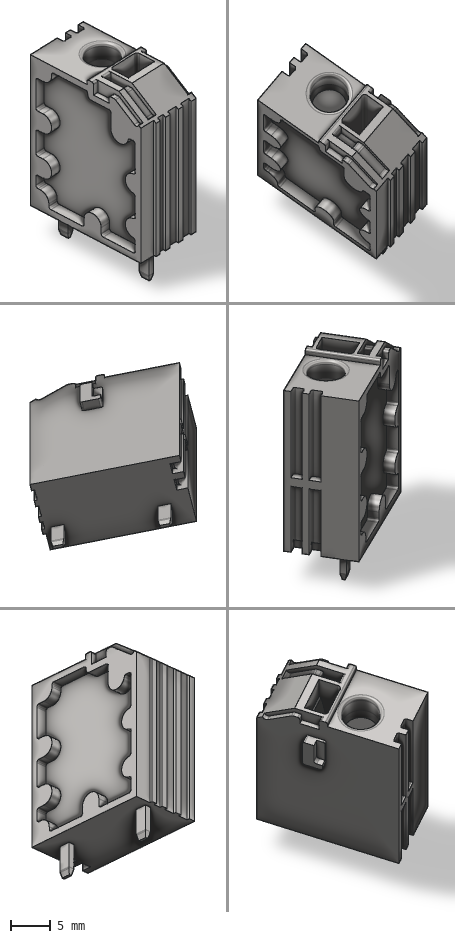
import cadquery as cq
import math

LENGTH = 19.19
WIDTH = 10.0
DECK_Z = 23.5
CREST_Z = 24.3
STEP_X = 9.85
SLOPE_START_X = 14.63
RIB_DEPTH = 0.4
RIB_FACE_X = LENGTH + RIB_DEPTH
RIB_TOP_Z = 20.8
SLOPE_ANGLE = math.atan2(CREST_Z - RIB_TOP_Z, RIB_FACE_X - SLOPE_START_X)
EDGE_RADIUS = 0.3
RIB_SPANS = [(2.42, 3.2), (4.2, 5.1), (6.64, 7.55), (9.05, WIDTH)]

GROOVE_SPANS = [(0, 0.8), (1.8, 3.3), (9.35, WIDTH)]
GROOVE_LEFT_X = 10.95
GROOVE_FLOOR_Z = 22.4
GROOVE_STEP_X = 13.65
GROOVE_SLOPE_X = 14.65
GROOVE_BEND_REACH = 0.15
GROOVE_LOW_X = 18.05
GROOVE_END_X = 18.78

POCKET_DEPTH = 1.6
POCKET_LEFT, POCKET_RIGHT = 0.95, 18.18
POCKET_BOTTOM, POCKET_TOP = 1.05, 22.5
POCKET_STEP_X, POCKET_STEP_Z = 9.95, 21.38
POCKET_NOTCH_X, POCKET_NOTCH_Z = 14.0, 18.5
POCKET_STEP_RADIUS = 0.58
POCKET_CORNER_RADIUS = 0.38
PILLAR_RADIUS = 1.5
PILLAR_REACH = 2.3
LEFT, RIGHT, DOWN, UP = (-1, 0), (1, 0), (0, -1), (0, 1)
PILLARS = [
    (2.2, 21.87, [LEFT, UP]),
    (2.2, 13.82, [LEFT]),
    (2.2, 6.78, [LEFT]),
    (1.7, 1.75, [LEFT, DOWN]),
    (10.8, 2.35, [DOWN]),
    (17.97, 11.83, [RIGHT]),
    (17.97, 4.88, [RIGHT]),
    (POCKET_NOTCH_X + PILLAR_RADIUS, POCKET_NOTCH_Z, []),
]

SLOT_SPANS = [(5.08, 6.64), (7.55, 9.05)]
SLOT_DEPTH = 1.15
SLOT_BRIDGE_Z = (9.65, 10.9)
SLOT_FOOT_HEIGHT = 1.2
SLOT_FOOT_SLOPE = 0.6
SLOT_FOOT_DEPTH = 1.45

HOLE_X, HOLE_Y = 6.7, 6.32
HOLE_DIAMETER = 4.9
HOLE_FLOOR_DIAMETER = 4.4
HOLE_LIP_RADIUS = 0.52
HOLE_STRAIGHT_DEPTH = 2.57
HOLE_CONE_DEPTH = 1.15

WINDOW_X = (10.4, 13.47)
WINDOW_Y = (3.85, 8.8)
WINDOW_CORNER_RADIUS = 0.45
WINDOW_FLOOR_Z = 11.25
WINDOW_SLOT_Y = (4.2, 8.16)
RAMP_TOP_X, RAMP_TOP_Z = 13.18, 20.77
RAMP_BEND_X, RAMP_BEND_Z = 11.85, 14.15
RAMP_FOOT_RADIUS = 0.35
SLOT_BEND_X, SLOT_BEND_Z = 11.25, 12.25
SLOT_FLOOR_X, SLOT_FLOOR_Z = 10.88, 10.4

HOOK_X = (10.0, 12.75)
HOOK_Z = (16.05, 20.55)
HOOK_DEPTH = 1.33
HOOK_NECK = 0.38
HOOK_NOTCH_X = 11.16
HOOK_NOTCH_Z = 16.95
HOOK_NOTCH_RADIUS = 0.38

PIN_XS = (3.5, 17.5)
PIN_Y = 2.85
PIN_WIDTH, PIN_THICKNESS = 1.7, 0.87
PIN_TIP_WIDTH, PIN_TIP_THICKNESS = 1.3, 0.38
PIN_LENGTH = 4.55
PIN_TAPER = 0.98
PIN_BEND_REACH = 0.1
PIN_ROOT = 0.58


def box(xs, ys, zs):
    """Block between two corners given as ranges."""
    size = [xs[1] - xs[0], ys[1] - ys[0], zs[1] - zs[0]]
    return cq.Workplane("XY").box(*size, centered=False).translate((xs[0], ys[0], zs[0]))


def side_sketch(y):
    """Workplane seen from -Y with local x = X and local y = Z; extrude by a negative length towards +Y."""
    return cq.Workplane("XZ", origin=(0, y, 0))


def slope_z(x):
    """Height of the sloped top face at x."""
    return CREST_Z - (x - SLOPE_START_X) * math.tan(SLOPE_ANGLE)


def make_slab(end_x, span):
    """Full side outline of the housing, ending at end_x."""
    outline = [
        (0, 0), (end_x, 0), (end_x, slope_z(end_x)), (SLOPE_START_X, CREST_Z),
        (STEP_X, CREST_Z), (STEP_X, DECK_Z), (0, DECK_Z),
    ]
    slab = side_sketch(span[0]).polyline(outline).close().extrude(span[0] - span[1])
    step_edge = cq.selectors.NearestToPointSelector((STEP_X, sum(span) / 2, CREST_Z))
    return slab.edges(step_edge).fillet(EDGE_RADIUS)


def make_housing():
    housing = make_slab(LENGTH, (0, WIDTH))
    for span in RIB_SPANS:
        housing = housing.union(make_slab(RIB_FACE_X, span))
    return housing


def make_groove(span):
    """Cut across the crest with a flared entry, a rounded step and a sloped bottom."""
    r = EDGE_RADIUS
    above = CREST_Z + r
    low_z = DECK_Z - (GROOVE_LOW_X - GROOVE_SLOPE_X) * math.tan(SLOPE_ANGLE)
    diagonal = r * math.sqrt(0.5)
    bend_end_x = GROOVE_SLOPE_X + GROOVE_BEND_REACH * math.cos(SLOPE_ANGLE)
    bend_end_z = DECK_Z - GROOVE_BEND_REACH * math.sin(SLOPE_ANGLE)
    return (
        side_sketch(span[0])
        .moveTo(GROOVE_LEFT_X - r, above)
        .lineTo(GROOVE_LEFT_X - r, CREST_Z)
        .threePointArc(
            (GROOVE_LEFT_X - r + diagonal, CREST_Z - r + diagonal), (GROOVE_LEFT_X, CREST_Z - r)
        )
        .lineTo(GROOVE_LEFT_X, GROOVE_FLOOR_Z)
        .lineTo(GROOVE_STEP_X, GROOVE_FLOOR_Z)
        .lineTo(GROOVE_STEP_X, DECK_Z - r)
        .threePointArc(
            (GROOVE_STEP_X + r - diagonal, DECK_Z - r + diagonal), (GROOVE_STEP_X + r, DECK_Z)
        )
        .lineTo(GROOVE_SLOPE_X - GROOVE_BEND_REACH, DECK_Z)
        .tangentArcPoint((bend_end_x, bend_end_z), relative=False)
        .lineTo(GROOVE_LOW_X, low_z)
        .tangentArcPoint((GROOVE_END_X, slope_z(GROOVE_END_X)), relative=False)
        .lineTo(GROOVE_END_X, above)
        .close()
        .extrude(span[0] - span[1])
    )


def make_pocket():
    """Shallow recess whose border is scalloped by round-nosed pillars."""
    outline = [
        (POCKET_LEFT, POCKET_BOTTOM), (POCKET_RIGHT, POCKET_BOTTOM), (POCKET_RIGHT, POCKET_NOTCH_Z),
        (POCKET_NOTCH_X, POCKET_NOTCH_Z), (POCKET_NOTCH_X, POCKET_STEP_Z),
        (POCKET_STEP_X, POCKET_STEP_Z), (POCKET_STEP_X, POCKET_TOP), (POCKET_LEFT, POCKET_TOP),
    ]
    blank = side_sketch(0).polyline(outline).close().extrude(-POCKET_DEPTH)
    step_edge = cq.selectors.NearestToPointSelector((POCKET_STEP_X, POCKET_DEPTH / 2, POCKET_STEP_Z))
    blank = blank.edges(step_edge).fillet(POCKET_STEP_RADIUS)

    r = PILLAR_RADIUS
    for x, z, directions in PILLARS:
        blank = blank.cut(side_sketch(0).center(x, z).circle(r).extrude(-POCKET_DEPTH))
        for dx, dz in directions:
            bar_x = sorted((x + dx * PILLAR_REACH, x)) if dx else (x - r, x + r)
            bar_z = sorted((z + dz * PILLAR_REACH, z)) if dz else (z - r, z + r)
            blank = blank.cut(box(bar_x, (0, POCKET_DEPTH), bar_z))
    wire = blank.faces("<Y").wires().vals()[0]
    rounded = wire.offset2D(-POCKET_CORNER_RADIUS)[0].offset2D(POCKET_CORNER_RADIUS)[0]
    return cq.Workplane(cq.Solid.extrudeLinear(rounded, [], cq.Vector(0, POCKET_DEPTH, 0)))


def make_slot(span):
    """Slot in the -X face, interrupted by a bridge, with a deeper foot under a sloped ceiling."""
    low, high = SLOT_BRIDGE_Z
    slot = box((0, SLOT_DEPTH), span, (0, low))
    slot = slot.union(box((0, SLOT_DEPTH), span, (high, DECK_Z)))
    slot = slot.edges("|Z and >X").fillet(EDGE_RADIUS)
    mouth_z = SLOT_FOOT_HEIGHT - SLOT_FOOT_SLOPE * SLOT_DEPTH
    inner_z = mouth_z + SLOT_FOOT_SLOPE * SLOT_FOOT_DEPTH
    foot_outline = [(0, 0), (SLOT_FOOT_DEPTH, 0), (SLOT_FOOT_DEPTH, inner_z), (0, mouth_z)]
    foot = side_sketch(span[0]).polyline(foot_outline).close().extrude(span[0] - span[1])
    return slot.union(foot)


def make_hole():
    """Revolved cut: rounded lip, straight bore and a cone down to the flat floor."""
    radius = HOLE_DIAMETER / 2
    lip = HOLE_LIP_RADIUS
    cone_top = DECK_Z - HOLE_STRAIGHT_DEPTH
    floor_z = cone_top - HOLE_CONE_DEPTH
    bulge = lip * (1 - math.sqrt(0.5))
    return (
        cq.Workplane("XZ", origin=(HOLE_X, HOLE_Y, 0))
        .moveTo(0, DECK_Z)
        .lineTo(radius + lip, DECK_Z)
        .threePointArc((radius + bulge, DECK_Z - bulge), (radius, DECK_Z - lip))
        .lineTo(radius, cone_top)
        .lineTo(HOLE_FLOOR_DIAMETER / 2, floor_z)
        .lineTo(0, floor_z)
        .close()
        .revolve(360, (0, 0, 0), (0, 1, 0))
    )


def make_window():
    """Deep opening with a narrow ledge, a steep ramp and a central slot at the ramp's foot."""
    x0, x1 = WINDOW_X
    slope = (RAMP_TOP_X - RAMP_BEND_X) / (RAMP_TOP_Z - RAMP_BEND_Z)
    foot_x = RAMP_BEND_X - slope * (RAMP_BEND_Z - WINDOW_FLOOR_Z)
    outline = [
        (x0, WINDOW_FLOOR_Z), (foot_x, WINDOW_FLOOR_Z), (RAMP_TOP_X, RAMP_TOP_Z),
        (x1, RAMP_TOP_Z), (x1, CREST_Z), (x0, CREST_Z),
    ]
    y0, y1 = WINDOW_Y
    window = side_sketch(y0).polyline(outline).close().extrude(y0 - y1)
    foot_edge = cq.selectors.NearestToPointSelector((foot_x, (y0 + y1) / 2, WINDOW_FLOOR_Z))
    window = window.edges(foot_edge).fillet(RAMP_FOOT_RADIUS)
    window = window.edges("|Z and <X").fillet(WINDOW_CORNER_RADIUS)

    slot_outline = [
        (SLOT_FLOOR_X, SLOT_FLOOR_Z), (SLOT_BEND_X, SLOT_BEND_Z),
        (RAMP_BEND_X, RAMP_BEND_Z), (SLOT_FLOOR_X, RAMP_BEND_Z),
    ]
    s0, s1 = WINDOW_SLOT_Y
    return window.union(side_sketch(s0).polyline(slot_outline).close().extrude(s0 - s1))


def make_hook():
    """Lug on the +Y face with its outer, upper -X quarter notched away."""
    root = 0.3
    hook = box(HOOK_X, (WIDTH - root, WIDTH + HOOK_DEPTH), HOOK_Z).edges("|Y").fillet(EDGE_RADIUS)
    notch_y = (WIDTH + HOOK_NECK, WIDTH + HOOK_DEPTH)
    notch = box((HOOK_X[0], HOOK_NOTCH_X), notch_y, (HOOK_NOTCH_Z, HOOK_Z[1]))
    return hook.cut(notch.edges("|Y and >X and <Z").fillet(HOOK_NOTCH_RADIUS))


def make_pin(x):
    """Flat pin: its width tapers sharply at the shoulder, its thickness through a rounded bend."""
    shoulder_z = PIN_TAPER - PIN_LENGTH
    half_width, half_tip_width = PIN_WIDTH / 2, PIN_TIP_WIDTH / 2
    broad_outline = [
        (x - half_width, PIN_ROOT), (x - half_width, shoulder_z), (x - half_tip_width, -PIN_LENGTH),
        (x + half_tip_width, -PIN_LENGTH), (x + half_width, shoulder_z), (x + half_width, PIN_ROOT),
    ]
    broad = side_sketch(PIN_Y).polyline(broad_outline).close().extrude(PIN_THICKNESS / 2, both=True)

    half, half_tip = PIN_THICKNESS / 2, PIN_TIP_THICKNESS / 2
    corner_z = shoulder_z - PIN_BEND_REACH
    taper_angle = math.atan2(half - half_tip, corner_z + PIN_LENGTH)
    bend_y = half - PIN_BEND_REACH * math.sin(taper_angle)
    bend_z = corner_z - PIN_BEND_REACH * math.cos(taper_angle)
    thin = (
        cq.Workplane("YZ", origin=(x, PIN_Y, 0))
        .moveTo(0, PIN_ROOT)
        .lineTo(half, PIN_ROOT)
        .lineTo(half, shoulder_z)
        .tangentArcPoint((bend_y, bend_z), relative=False)
        .lineTo(half_tip, -PIN_LENGTH)
        .lineTo(0, -PIN_LENGTH)
        .close()
        .extrude(half_width, both=True)
    )
    thin = thin.union(thin.mirror("XZ", (x, PIN_Y, 0)))
    return broad.intersect(thin)


result = make_housing()
for groove_span in GROOVE_SPANS:
    result = result.cut(make_groove(groove_span))
for slot_span in SLOT_SPANS:
    result = result.cut(make_slot(slot_span))
result = result.cut(make_pocket())
result = result.cut(make_hole())
result = result.cut(make_window())
result = result.union(make_hook())
for pin_x in PIN_XS:
    result = result.union(make_pin(pin_x))